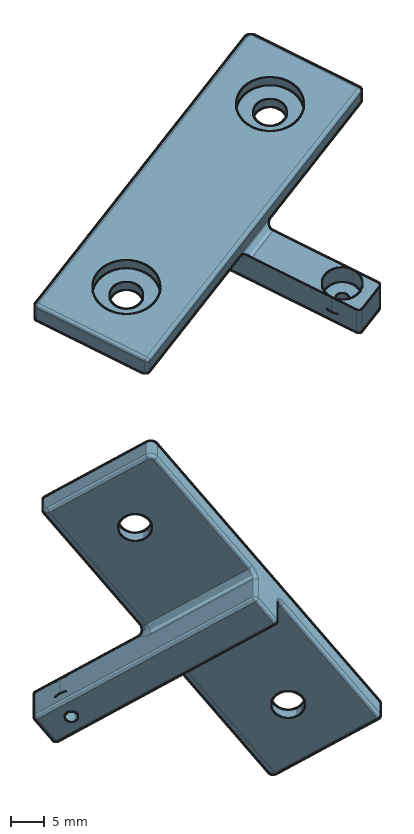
import cadquery as cq

plate_length = 60.0
plate_width = plate_length / 3
plate_thickness = plate_length / 15
arm_length = 2 * plate_width
arm_width = 6.0
arm_height = 6.0
total_height = arm_height + plate_thickness

edge_radius = 0.6
blend_radius = 1.2

screw_hole_diameter = 5.0
screw_head_diameter = 10.0
screw_head_depth = plate_thickness / 2
screw_spacing = plate_length * 2 / 3

pin_hole_diameter = 2.0
pin_head_diameter = 6.0
pin_head_depth = 3.6
pin_hole_setback = 5.0
pin_hole_x = arm_length - pin_hole_setback

bend_x = plate_width - blend_radius
bend_z = arm_height + blend_radius


def make_plate():
    """Plate with a larger radius on its lower +X edge and one -X corner."""
    plate = (
        cq.Workplane("XY", origin=(0, 0, arm_height))
        .rect(plate_width, plate_length)
        .extrude(plate_thickness)
        .translate((plate_width / 2, 0, 0))
    )
    plate = plate.faces("<Z").edges(">X").fillet(blend_radius)
    return plate.faces(">Y").edges("<X").fillet(blend_radius)


def make_arm():
    """Straight bar under the plate, its top level with the plate's underside."""
    return cq.Workplane("XY").box(arm_length, arm_width, arm_height, centered=(False, True, False))


def arm_top_blend(width):
    """Fillet between the plate's +X face and the arm's top, over a width centred on the arm."""
    return (
        cq.Workplane("XZ", origin=(0, width / 2, 0))
        .moveTo(bend_x, 0)
        .lineTo(plate_width + blend_radius, 0)
        .lineTo(plate_width + blend_radius, arm_height)
        .radiusArc((plate_width, bend_z), blend_radius)
        .lineTo(bend_x, bend_z)
        .close()
        .extrude(width)
    )


def cove_section(x):
    """Fillet section between the arm's +Y side and the plate's underside."""
    side_y = arm_width / 2
    return (
        cq.Workplane("YZ", origin=(x, 0, 0))
        .moveTo(side_y, arm_height)
        .lineTo(side_y, arm_height - blend_radius)
        .radiusArc((side_y + blend_radius, arm_height), blend_radius)
        .close()
    )


def make_side_cove():
    """Cove along the arm's +Y side, carried round the plate's curved edge to the arm's top."""
    straight = cove_section(0).extrude(bend_x)
    bend = cove_section(bend_x).revolve(90, (0.6, bend_z, 0), (0, bend_z, 0))
    bend = bend.intersect(arm_top_blend(arm_width + 2 * blend_radius))
    return straight.union(bend)


def join_body():
    """Plate, arm and the fillets between them, before the outer edges are rounded."""
    side_cove = make_side_cove()
    body = make_plate().union(make_arm()).union(arm_top_blend(arm_width))
    return body.union(side_cove).union(side_cove.mirror("XZ")).clean()


def round_outer_edges(body):
    """Round every outer edge except those around the arm's exposed top."""
    outer_edges = body.faces("<X or <Y or >Y or <Z or >Z").edges()
    arm_corners = body.edges("|Z and >X")
    return outer_edges.add(arm_corners).fillet(edge_radius)


def cut_stepped_hole(body, center, top_z, diameter, head_diameter, head_depth):
    """Vertical through hole with a flat-bottomed counterbore from top_z down."""
    top = cq.Workplane("XY", origin=(*center, top_z))
    body = body.cut(top.circle(diameter / 2).extrude(-total_height))
    return body.cut(top.circle(head_diameter / 2).extrude(-head_depth))


result = round_outer_edges(join_body())
for side in (-1, 1):
    result = cut_stepped_hole(
        result,
        (plate_width / 2, side * screw_spacing / 2),
        total_height,
        screw_hole_diameter,
        screw_head_diameter,
        screw_head_depth,
    )
result = cut_stepped_hole(
    result,
    (pin_hole_x, 0),
    arm_height,
    pin_hole_diameter,
    pin_head_diameter,
    pin_head_depth,
)